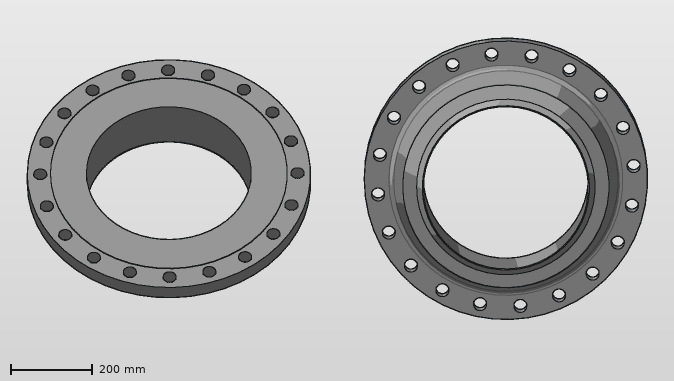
import cadquery as cq

flange_radius = 349.0
total_height = 146.0
raised_face_height = 2.0
raised_face_radius = 292.0
flange_bottom = 101.0
flange_top = total_height - raised_face_height
bore_radius = 203.0

hub_root_radius = 279.5
hub_end_radius = 254.0
hub_taper_end = 25.0
hub_root_fillet = 12.5
selection_margin = 1.0

shallow_cone_top = 19.0
bevel_top = 12.5
bevel_outer_radius = 220.0
bevel_inner_radius = 206.0

bolt_count = 20
bolt_circle_radius = 317.0
bolt_hole_diameter = 32.0


def revolved_body():
    """Revolve the half section about Z, including the bore."""
    profile = (
        cq.Workplane("XZ")
        .moveTo(bore_radius, 0)
        .lineTo(bevel_inner_radius, 0)
        .lineTo(bevel_outer_radius, bevel_top)
        .lineTo(hub_end_radius, shallow_cone_top)
        .lineTo(hub_end_radius, hub_taper_end)
        .lineTo(hub_root_radius, flange_bottom)
        .lineTo(flange_radius, flange_bottom)
        .lineTo(flange_radius, flange_top)
        .lineTo(raised_face_radius, flange_top)
        .lineTo(raised_face_radius, total_height)
        .lineTo(bore_radius, total_height)
        .close()
    )
    return profile.revolve(360, (0, 0, 0), (0, 1, 0))


def fillet_hub_root(body):
    """Blend the hub into the underside of the flange."""
    at_flange_bottom = cq.selectors.BoxSelector(
        (-flange_radius, -flange_radius, flange_bottom - selection_margin),
        (flange_radius, flange_radius, flange_bottom + selection_margin),
    )
    flange_bottom_edges = body.edges("%CIRCLE").edges(at_flange_bottom)
    return flange_bottom_edges.edges(cq.selectors.RadiusNthSelector(0)).fillet(hub_root_fillet)


def bolt_holes():
    """Cutters for the evenly spaced bolt holes, one lying on the X axis."""
    return (
        cq.Workplane("XY")
        .workplane(offset=flange_bottom)
        .polarArray(bolt_circle_radius, 0, 360, bolt_count)
        .circle(bolt_hole_diameter / 2)
        .extrude(flange_top - flange_bottom)
    )


result = fillet_hub_root(revolved_body()).cut(bolt_holes())